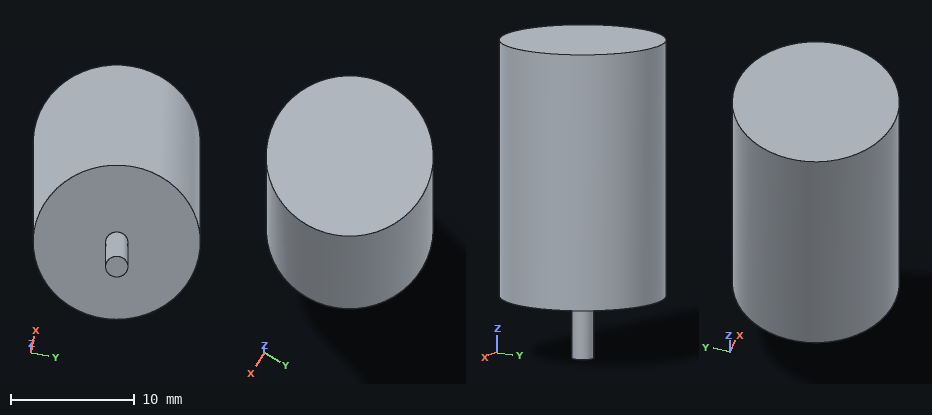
import cadquery as cq

total_length = 26.1
housing_diameter = 13.5
housing_length = 21.0
shaft_diameter = 1.8
shaft_length = total_length - housing_length


def make_housing():
    """Plain cylindrical motor housing standing above the exposed shaft."""
    return (
        cq.Workplane("XY")
        .workplane(offset=shaft_length)
        .circle(housing_diameter / 2)
        .extrude(housing_length)
    )


def make_shaft():
    """Output shaft whose upper end meets the lower face of the housing."""
    return cq.Workplane("XY").circle(shaft_diameter / 2).extrude(shaft_length)


housing = make_housing()
shaft = make_shaft()

result = cq.Compound.makeCompound([housing.val(), shaft.val()])